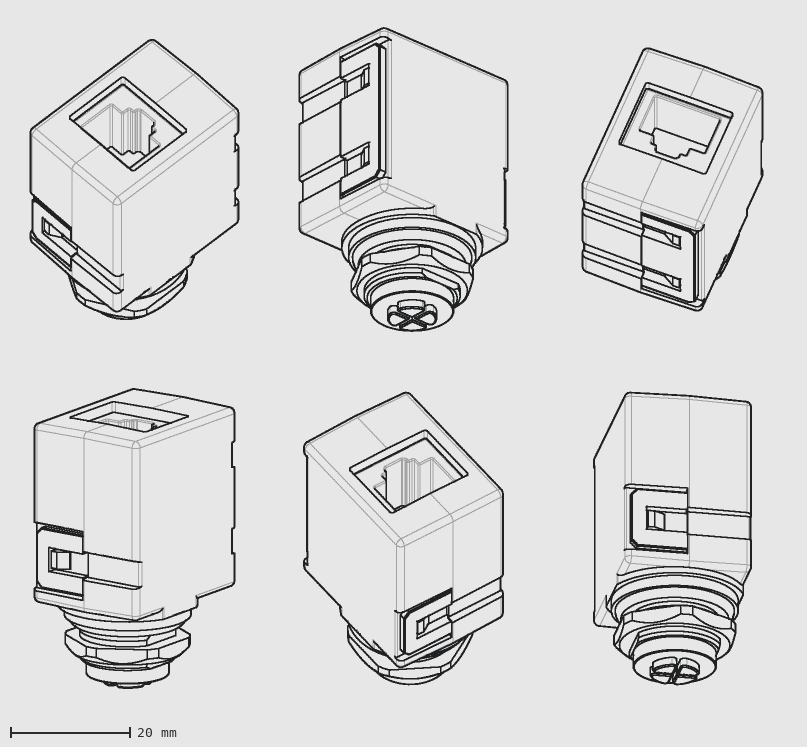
import cadquery as cq
import math


housing_width = 21.6
housing_front = -12.55
housing_back = 16.45
housing_bottom = 14.65
housing_top = 46.1
housing_draft = 1.0
housing_round = 0.95

pocket_width = 15.75
pocket_length = 12.6
pocket_center_y = 0.45
pocket_depth = 1.85
pocket_corner = 0.45
jack_body_round = 0.4
jack_half_width = 5.9
jack_step_half_width = 3.25
jack_key_half_width = 2.1
jack_front = -4.9
jack_shoulder = 2.15
jack_step_back = 3.75
jack_back = 4.9
jack_key_chamfer = 0.45
jack_depth = 11.52
jack_mouth_round = 0.25
jack_corner_round = 0.28

latch_bottom = 16.9
front_latch_top = 28.85
back_latch_top = 43.95
latch_inner_x = -0.25
front_groove_depth = 1.25
back_groove_depth = 1.5
front_groove_lip_round = 0.3
back_groove_lip_round = 0.4
plate_recess = 0.07
plate_gap = 0.75
plate_side_gap = 0.95
plate_corner_chamfer = 1.0
plate_edge_chamfer = 0.2
wall_slope = 0.28

slot_height = 4.15
slot_end = -7.25
slot_depth = 1.75
channel_height = 4.95
channel_depth = 1.25
channel_lip_round = 0.4
lower_slot_z = 22.85
upper_slot_z = 37.85
catch_start = -6.95
catch_ridge = -5.8
catch_end = -3.9
catch_height = 2.95
catch_top_depth = 0.28
catch_end_depth = 1.4

flange_diameter = 23.6
flange_bottom = 13.65
collar_diameter = 21.3
collar_bottom = 11.8
seal_diameter = 20.0
seal_bottom = 10.33
seal_end_diameter = 18.05
thread_diameter = 16.15
thread_top_diameter = 14.75
thread_shoulder = 9.25
thread_bottom = 4.05
thread_bottom_chamfer = 0.5
thread_flats = 13.9
nozzle_diameter = 13.9
nozzle_bottom = 1.5
nozzle_chamfer = 0.15
insert_diameter = 8.2
insert_slot = 0.65
insert_corner_round = 0.75
insert_chamfer = 0.25

nut_across_flats = 19.1
nut_turned_diameter = 20.95
nut_top = 8.3
nut_bottom = 5.5
nut_chamfer = 1.2


def cylinder(diameter, bottom, top):
    return cq.Workplane("XY").workplane(offset=bottom).circle(diameter / 2).extrude(top - bottom)


def block(x_range, y_range, z_range):
    sizes = [end - start for start, end in (x_range, y_range, z_range)]
    return cq.Workplane("XY").box(*sizes, centered=False).translate((x_range[0], y_range[0], z_range[0]))


def housing():
    """Two drafted halves, each with its share of the flange trimmed flush with the outer face."""
    middle_y = (housing_front + housing_back) / 2
    middle_z = (housing_bottom + housing_top) / 2
    half_width = housing_width / 2
    half = (
        cq.Workplane("YZ")
        .center(middle_y, middle_z)
        .rect(housing_back - housing_front, housing_top - housing_bottom)
        .extrude(half_width, taper=housing_draft)
        .edges("not (<X or >X)")
        .edges("not #X")
        .fillet(housing_round)
    )
    flange_top = housing_bottom + housing_round
    flange = cylinder(flange_diameter, flange_bottom, flange_top).intersect(
        block((0, half_width), (-flange_diameter, flange_diameter), (flange_bottom, flange_top))
    )
    half = half.union(flange).edges(">X").edges("not <Z").fillet(housing_round)
    return half.union(half.mirror("YZ"))


def jack_body():
    right_side = [
        (jack_half_width, jack_front),
        (jack_half_width, jack_shoulder),
        (jack_step_half_width, jack_shoulder),
        (jack_step_half_width, jack_step_back),
        (jack_key_half_width, jack_step_back),
        (jack_key_half_width, jack_back - jack_key_chamfer),
        (jack_key_half_width - jack_key_chamfer, jack_back),
    ]
    left_side = [(-x, y) for x, y in reversed(right_side)]
    top = cq.Workplane("XY").workplane(offset=housing_top - pocket_depth)
    opening = top.polyline(right_side + left_side).close().extrude(-jack_depth)
    opening = opening.edges("|Z").fillet(jack_corner_round)
    body = top.center(0, pocket_center_y).rect(pocket_width, pocket_length).extrude(-jack_depth)
    body = body.edges("|Z").fillet(pocket_corner).faces(">Z").edges().fillet(jack_body_round)
    body = body.cut(opening)
    mouth_edges = [edge for wire in body.faces(">Z").val().innerWires() for edge in wire.Edges()]
    return body.newObject(mouth_edges).fillet(jack_mouth_round)


def jack_opening():
    """Pocket in the housing top, less the jack body that fills it below the rim."""
    pocket = (
        cq.Workplane("XY")
        .workplane(offset=housing_top)
        .center(0, pocket_center_y)
        .rect(pocket_width, pocket_length)
        .extrude(-pocket_depth - jack_depth)
        .edges("|Z")
        .fillet(pocket_corner)
    )
    return pocket.cut(jack_body())


def trough(x_range, z_range, face_y, floor_y, slope):
    """Trough along X whose upper and lower walls close in by slope on the way to the floor."""
    low, high = z_range
    profile = [(face_y, low), (floor_y, low + slope), (floor_y, high - slope), (face_y, high)]
    start, end = x_range
    return cq.Workplane("YZ").workplane(offset=start).polyline(profile).close().extrude(end - start)


def latch_plate(plate_y, floor_y, top):
    outer_face = "<Y" if plate_y < floor_y else ">Y"
    return (
        block(
            (-housing_width / 2 + plate_side_gap, latch_inner_x),
            sorted((plate_y, floor_y)),
            (latch_bottom + plate_gap, top - plate_gap),
        )
        .edges("<X and |Y")
        .chamfer(plate_corner_chamfer)
        .faces(outer_face)
        .edges("not >X")
        .chamfer(plate_edge_chamfer)
    )


def tongue_slot(face_y, inward, level):
    """Plate slot with its catch, and the wider channel across the +X half."""
    slot_floor = face_y + inward * slot_depth
    slot_z = (level - slot_height / 2, level + slot_height / 2)
    slot = block((slot_end, 0), sorted((face_y, slot_floor)), slot_z)
    catch_top = face_y + inward * catch_top_depth
    catch_profile = [
        (catch_start, slot_floor),
        (catch_start, catch_top),
        (catch_ridge, catch_top),
        (catch_end, face_y + inward * catch_end_depth),
        (catch_end, slot_floor),
    ]
    catch = (
        cq.Workplane("XY")
        .workplane(offset=level - catch_height / 2)
        .polyline(catch_profile)
        .close()
        .extrude(catch_height)
    )
    channel_z = (level - channel_height / 2, level + channel_height / 2)
    channel_floor = face_y + inward * channel_depth
    channel = trough((latch_inner_x, housing_width / 2), channel_z, face_y, channel_floor, wall_slope)
    return slot.cut(catch).union(channel)


def round_edge_near(body, point, radius):
    return body.edges(cq.selectors.NearestToPointSelector(point)).fillet(radius)


def cut_latch(body, face_y, inward, groove_depth, lip_round, top, slot_levels):
    """Cut one latch into the face at face_y; inward is +1 or -1 along Y."""
    outer_x = -housing_width / 2
    floor_y = face_y + inward * groove_depth
    groove = trough((outer_x, latch_inner_x), (latch_bottom, top), face_y, floor_y, wall_slope)
    groove_lip = (outer_x, floor_y, (latch_bottom + top) / 2)
    body = round_edge_near(body.cut(groove), groove_lip, lip_round)
    body = body.union(latch_plate(face_y + inward * plate_recess, floor_y, top))
    for level in slot_levels:
        channel_lip = (-outer_x, face_y + inward * channel_depth, level)
        body = body.cut(tongue_slot(face_y, inward, level))
        body = round_edge_near(body, channel_lip, channel_lip_round)
    return body


def rounded_seal():
    inset = (seal_diameter - seal_end_diameter) / 2
    height = collar_bottom - seal_bottom
    arc_radius = (inset**2 + height**2) / (2 * inset)
    return (
        cq.Workplane("XZ")
        .moveTo(0, collar_bottom)
        .lineTo(seal_diameter / 2, collar_bottom)
        .radiusArc((seal_end_diameter / 2, seal_bottom), arc_radius)
        .lineTo(0, seal_bottom)
        .close()
        .revolve()
    )


def connector_stack():
    collar = cylinder(collar_diameter, collar_bottom, flange_bottom)
    seal = rounded_seal()
    thread_radius = thread_diameter / 2
    thread_profile = [
        (0, seal_bottom),
        (thread_top_diameter / 2, seal_bottom),
        (thread_radius, thread_shoulder),
        (thread_radius, thread_bottom + thread_bottom_chamfer),
        (thread_radius - thread_bottom_chamfer, thread_bottom),
        (0, thread_bottom),
    ]
    thread = cq.Workplane("XZ").polyline(thread_profile).close().revolve()
    flat_sides = block(
        (-thread_flats / 2, thread_flats / 2),
        (-thread_diameter, thread_diameter),
        (thread_bottom, seal_bottom),
    )
    nozzle = cylinder(nozzle_diameter, nozzle_bottom, thread_bottom).faces("<Z").chamfer(nozzle_chamfer)
    return collar.union(seal).union(thread.intersect(flat_sides)).union(nozzle)


def nut():
    hexagon = (
        cq.Workplane("XY")
        .workplane(offset=nut_bottom)
        .transformed(rotate=(0, 0, 30))
        .polygon(6, nut_across_flats / math.cos(math.radians(30)))
        .extrude(nut_top - nut_bottom)
    )
    turned = cylinder(nut_turned_diameter, nut_bottom, nut_top).faces("<Z").chamfer(nut_chamfer)
    return hexagon.intersect(turned)


def contact_insert():
    half = insert_diameter / 2
    quadrant = cylinder(insert_diameter, 0, nozzle_bottom).intersect(
        block((insert_slot / 2, half), (insert_slot / 2, half), (0, nozzle_bottom))
    )
    quadrant = quadrant.edges("|Z").edges(">X or >Y").fillet(insert_corner_round)
    quadrant = quadrant.faces("<Z").chamfer(insert_chamfer)
    insert = quadrant
    for turn in (90, 180, 270):
        insert = insert.union(quadrant.rotate((0, 0, 0), (0, 0, 1), turn))
    return insert


body = housing().union(connector_stack()).union(nut()).union(contact_insert())
body = body.cut(jack_opening())
body = cut_latch(
    body, housing_front, 1, front_groove_depth, front_groove_lip_round, front_latch_top, [lower_slot_z]
)
result = cut_latch(
    body,
    housing_back,
    -1,
    back_groove_depth,
    back_groove_lip_round,
    back_latch_top,
    [lower_slot_z, upper_slot_z],
)